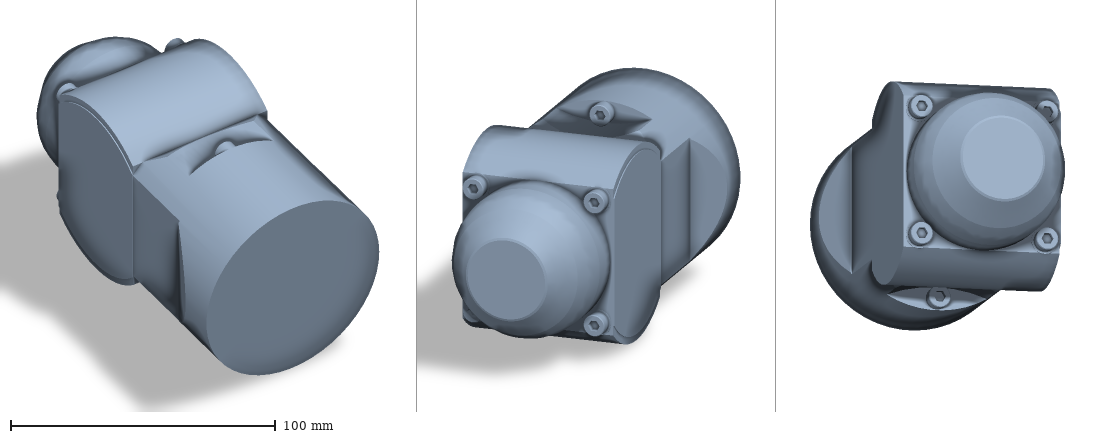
import cadquery as cq
import math

NOSE_RIM_X = 0.5
NOSE_CONE_END_X = 10.1
NOSE_ARC_END_X = 22.9
BLOCK_START_X = 34.2
BLOCK_END_X = 84.7
SLOPE_END_X = 91.8
POCKET_END_X = 106.1
NECK_END_X = 117.0
WEDGE_END_X = 134.2
TOTAL_LENGTH = 148.6

NOSE_TIP_RADIUS = 15.6
NOSE_RIM_RADIUS = 16.5
NOSE_CONE_RADIUS = 25.0
NOSE_RADIUS = 29.1

DRUM_RADIUS = 38.5
COVER_RADIUS = 35.7
COVER_THICKNESS = 0.5
BODY_WIDTH = 60.6

FLANGE_DIAMETER = 78.0
FLANGE_RADIUS = FLANGE_DIAMETER / 2
WEDGE_START_Y = 30.9

SLOPE_START_Z = 29.3
POCKET_FLOOR_Z = 30.2
POCKET_HALF_WIDTH = 19.5
POCKET_EDGE_Z = math.sqrt(FLANGE_RADIUS**2 - POCKET_HALF_WIDTH**2)

HEAD_DIAMETER = 8.5
HEAD_HEIGHT = 5.0
HEAD_CHAMFER = 0.3
SOCKET_FLATS = 4.0
SOCKET_DEPTH = 2.5
WASHER_DIAMETER = 10.1
WASHER_THICKNESS = 0.3
BLOCK_SCREW_OFFSET = 24.4
NECK_SCREW_OFFSET = 34.5

OVERLAP = 1.5


def cylinder_along_x(radius, start, end, center_z=0):
    return (
        cq.Workplane("YZ", origin=(start, 0, center_z))
        .circle(radius)
        .extrude(end - start)
    )


def make_nose():
    """Turned dome: small tip bevel, cone, arc ending tangent to a cylinder."""
    arc_run = NOSE_ARC_END_X - NOSE_CONE_END_X
    arc_rise = NOSE_RADIUS - NOSE_CONE_RADIUS
    arc_radius = (arc_run**2 + arc_rise**2) / (2 * arc_rise)
    half_angle = math.asin(arc_run / arc_radius) / 2
    arc_middle = (
        NOSE_ARC_END_X - arc_radius * math.sin(half_angle),
        NOSE_RADIUS - arc_radius * (1 - math.cos(half_angle)),
    )
    nose_end = BLOCK_START_X + OVERLAP
    return (
        cq.Workplane("XY")
        .lineTo(0, NOSE_TIP_RADIUS)
        .lineTo(NOSE_RIM_X, NOSE_RIM_RADIUS)
        .lineTo(NOSE_CONE_END_X, NOSE_CONE_RADIUS)
        .threePointArc(arc_middle, (NOSE_ARC_END_X, NOSE_RADIUS))
        .lineTo(nose_end, NOSE_RADIUS)
        .lineTo(nose_end, 0)
        .close()
        .revolve(360, (0, 0, 0), (1, 0, 0))
    )


def make_block():
    """Drum with a thin round cover on its -Y face, trimmed to the block length."""
    center_x = (BLOCK_START_X + BLOCK_END_X) / 2
    half_width = BODY_WIDTH / 2
    drum = (
        cq.Workplane("XZ", origin=(center_x, half_width, 0))
        .circle(DRUM_RADIUS)
        .extrude(BODY_WIDTH)
    )
    cover = (
        cq.Workplane("XZ", origin=(center_x, 0, 0))
        .circle(COVER_RADIUS)
        .extrude(half_width + COVER_THICKNESS)
    )
    trim = cq.Workplane("XY", origin=(center_x, 0, 0)).box(
        BLOCK_END_X - BLOCK_START_X, 2 * BODY_WIDTH, 2 * DRUM_RADIUS
    )
    return drum.union(cover).intersect(trim)


def make_neck_and_flange():
    """Round bar flattened on both Y sides, flaring back to full round at the flange."""
    neck_start = BLOCK_END_X - OVERLAP
    half_width = BODY_WIDTH / 2
    left_outline = [
        (neck_start, half_width),
        (NECK_END_X, half_width),
        (NECK_END_X, WEDGE_START_Y),
        (WEDGE_END_X, FLANGE_RADIUS),
        (TOTAL_LENGTH, FLANGE_RADIUS),
    ]
    right_outline = [(x, -y) for x, y in reversed(left_outline)]
    plan = (
        cq.Workplane("XY", origin=(0, 0, -FLANGE_RADIUS))
        .polyline(left_outline + right_outline)
        .close()
        .extrude(FLANGE_DIAMETER)
    )
    return cylinder_along_x(FLANGE_RADIUS, neck_start, TOTAL_LENGTH).intersect(plan)


def make_pocket_cut():
    """Upper pocket: a slope rising from the block and a hollow trough along X."""
    slope_gradient = (POCKET_EDGE_Z - SLOPE_START_Z) / (SLOPE_END_X - BLOCK_END_X)
    slope_top_x = BLOCK_END_X + (FLANGE_RADIUS - SLOPE_START_Z) / slope_gradient
    start_x = BLOCK_END_X - OVERLAP
    slope = (
        cq.Workplane("XZ")
        .moveTo(start_x, SLOPE_START_Z - OVERLAP * slope_gradient)
        .lineTo(slope_top_x, FLANGE_RADIUS)
        .lineTo(start_x, FLANGE_RADIUS)
        .close()
        .extrude(FLANGE_RADIUS, both=True)
    )
    sag = POCKET_EDGE_Z - POCKET_FLOOR_Z
    trough_radius = (POCKET_HALF_WIDTH**2 + sag**2) / (2 * sag)
    trough = cylinder_along_x(trough_radius, start_x, POCKET_END_X, POCKET_FLOOR_Z + trough_radius)
    return slope.union(trough)


def make_screw(face_x, y, z):
    """Socket head sitting on a face that looks toward -X."""
    head = (
        cylinder_along_x(HEAD_DIAMETER / 2, face_x - HEAD_HEIGHT, face_x + OVERLAP)
        .faces("<X")
        .edges()
        .chamfer(HEAD_CHAMFER)
    )
    socket_corners = SOCKET_FLATS / math.cos(math.pi / 6)
    socket = (
        cq.Workplane("YZ", origin=(face_x - HEAD_HEIGHT, 0, 0))
        .polygon(6, socket_corners)
        .extrude(SOCKET_DEPTH)
    )
    return head.cut(socket).translate((0, y, z))


def make_washer(y, z):
    washer = cylinder_along_x(WASHER_DIAMETER / 2, BLOCK_START_X - WASHER_THICKNESS, BLOCK_START_X)
    return washer.translate((0, y, z))


pocket_cut = make_pocket_cut()
rear = make_neck_and_flange().cut(pocket_cut).cut(pocket_cut.mirror("XY"))
result = rear.union(make_block()).union(make_nose())

for z_side in (-1, 1):
    result = result.union(make_screw(POCKET_END_X, 0, z_side * NECK_SCREW_OFFSET))
    for y_side in (-1, 1):
        y = y_side * BLOCK_SCREW_OFFSET
        z = z_side * BLOCK_SCREW_OFFSET
        result = result.union(make_washer(y, z))
        result = result.union(make_screw(BLOCK_START_X, y, z))